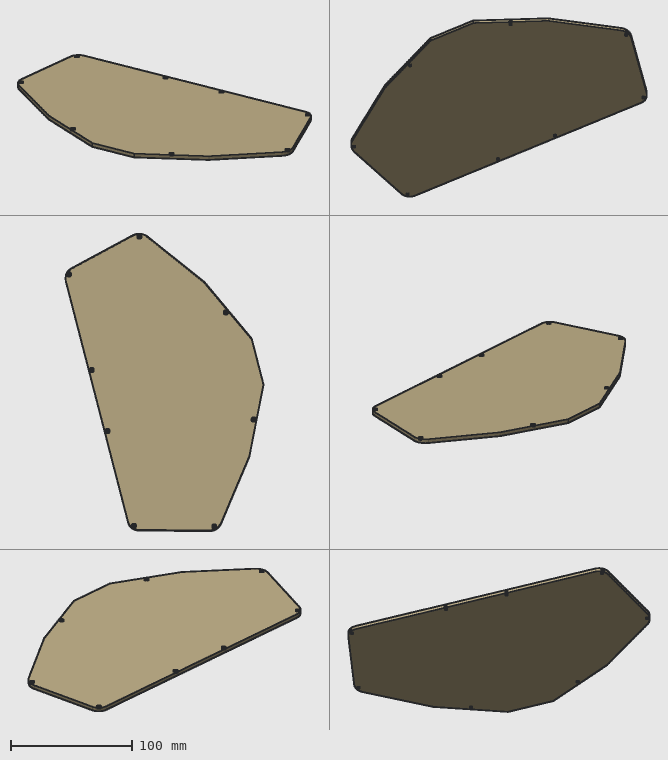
import math

import cadquery as cq

length = 258.0
depth = 137.0
thickness = 3.5

back_radius = 9.3
side_radius = 11.0
side_lean = 14.7
front_rake = 36.6
side_corner_y = -70.2
knee_x = 76.0
front_half_width = 20.0

lean = math.radians(side_lean)
rake = math.radians(front_rake)
side_turn = math.pi / 2 + lean - rake
corner_overhang = side_radius * (math.tan(side_turn / 2) * math.sin(lean) + math.cos(lean) - 1)
side_corner_x = length / 2 + corner_overhang
back_corner_x = side_corner_x + side_corner_y * math.tan(lean)
knee_y = side_corner_y - (side_corner_x - knee_x) * math.tan(rake)

hole_diameter = 2.1
counterbore_diameter = 3.5
counterbore_depth = 1.3
hole_places = [(26.5, -2.3), (109.7, -4.0), (126.5, -68.1), (46.7, -121.8)]


def make_plate():
    right_points = [
        (back_corner_x, 0),
        (side_corner_x, side_corner_y),
        (knee_x, knee_y),
        (front_half_width, -depth),
    ]
    left_points = [(-x, y) for x, y in reversed(right_points)]
    plate = cq.Workplane("XY").polyline(right_points + left_points).close().extrude(thickness)
    for corner, radius in ((right_points[0], back_radius), (right_points[1], side_radius)):
        for side in (-1, 1):
            edge = cq.NearestToPointSelector((side * corner[0], corner[1], thickness / 2))
            plate = plate.edges(edge).fillet(radius)
    return plate


def drill_holes(plate):
    places = [(side * x, y) for x, y in hole_places for side in (-1, 1)]
    top = plate.faces(">Z").workplane(origin=(0, 0, thickness))
    return top.pushPoints(places).cboreHole(hole_diameter, counterbore_diameter, counterbore_depth)


result = drill_holes(make_plate())